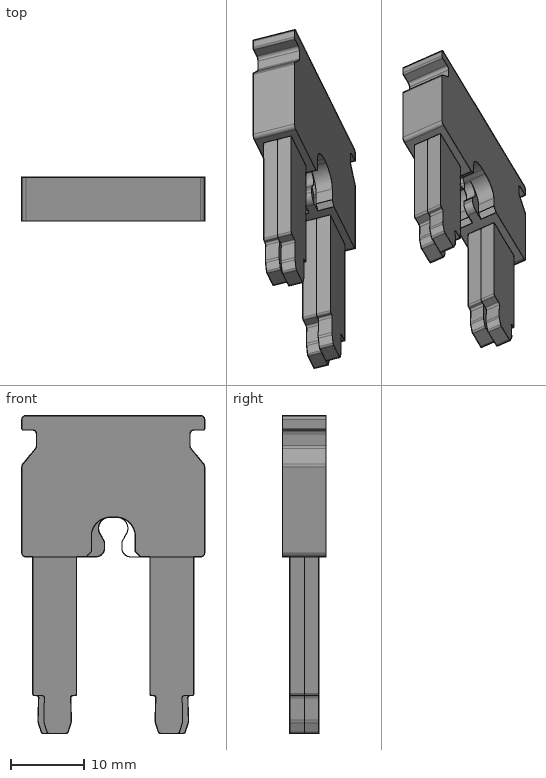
import cadquery as cq
import math


HOUSING_WIDTH = 25.0
HOUSING_DEPTH = 6.0
TOTAL_HEIGHT = 43.44
HOUSING_HEIGHT = 19.3
CORNER_RADIUS = 0.55

LIP_HEIGHT = 2.0
GROOVE_DEPTH = 2.0
GROOVE_FLAT_END = 4.35
GROOVE_RAMP_END = 6.8
LIP_EDGE_RADIUS = 0.25
GROOVE_ROOT_RADIUS = 0.5
GROOVE_RAMP_RADIUS = 0.65

ARCH_WIDTH = 6.0
ARCH_HEIGHT = 5.4
ARCH_SHOULDER_RADIUS = 2.6
ARCH_MOUTH_CHAMFER = 0.7
CLIP_THICKNESS = 1.3
CLIP_GAP = 2.35
JAW_FOOT_RADIUS = 1.2
JAW_FLAT_END = 1.8
JAW_BROW_RADIUS = 1.0
JAW_SLOPE = math.radians(30)
THROAT_RADIUS = 1.5

LEG_PITCH = 16.0
BLADE_WIDTH = 6.0
BLADE_THICKNESS = 2.0
TIP_OFFSET = 0.4
SHOULDER_HEIGHT = 5.17
SHOULDER_RADIUS = 0.28
TIP_NECK_WIDTH = 3.6
TIP_BULGE_WIDTH = 3.8
TIP_BULGE_HEIGHT = 1.63
TIP_BULGE_RADIUS = 1.2
TIP_END_WIDTH = 2.76
TIP_END_RADIUS = 0.3

housing_bottom = TOTAL_HEIGHT - HOUSING_HEIGHT
half_width = HOUSING_WIDTH / 2
PICK_MARGIN = 0.01


def prism(outline, y_start, y_end):
    """Extrude a closed XZ outline from y_start to y_end."""
    return outline.extrude(y_start - y_end).translate((0, y_start, 0))


def round_edges(body, points, radius):
    """Fillet the Y-parallel edges that pass through the given (x, z) points."""
    for x, z in points:
        body = body.edges(cq.selectors.BoxSelector(
            (x - PICK_MARGIN, -HOUSING_DEPTH, z - PICK_MARGIN),
            (x + PICK_MARGIN, HOUSING_DEPTH, z + PICK_MARGIN),
        )).fillet(radius)
    return body


def mirrored(point):
    """Reflect an (x, z) point across the middle plane."""
    return (-point[0], point[1])


def both_sides(x, z):
    return [(-x, z), (x, z)]


def make_housing_block():
    groove_x = half_width - GROOVE_DEPTH
    lip_z = TOTAL_HEIGHT - LIP_HEIGHT
    flat_end_z = TOTAL_HEIGHT - GROOVE_FLAT_END
    ramp_end_z = TOTAL_HEIGHT - GROOVE_RAMP_END
    right_side = [
        (half_width, housing_bottom),
        (half_width, ramp_end_z),
        (groove_x, flat_end_z),
        (groove_x, lip_z),
        (half_width, lip_z),
        (half_width, TOTAL_HEIGHT),
    ]
    left_side = [mirrored(point) for point in reversed(right_side)]
    outline = cq.Workplane("XZ").polyline(right_side + left_side).close()
    block = prism(outline, -HOUSING_DEPTH / 2, HOUSING_DEPTH / 2)
    block = round_edges(block, both_sides(half_width, TOTAL_HEIGHT), CORNER_RADIUS)
    block = round_edges(block, both_sides(half_width, housing_bottom), CORNER_RADIUS)
    block = round_edges(block, both_sides(half_width, lip_z), LIP_EDGE_RADIUS)
    block = round_edges(block, both_sides(groove_x, lip_z), GROOVE_ROOT_RADIUS)
    block = round_edges(block, both_sides(groove_x, flat_end_z), GROOVE_RAMP_RADIUS)
    return round_edges(block, both_sides(half_width, ramp_end_z), GROOVE_RAMP_RADIUS)


def make_arch(y_start, y_end):
    """Notch with rounded top corners and a chamfered mouth."""
    side_x = ARCH_WIDTH / 2
    mouth_x = side_x + ARCH_MOUTH_CHAMFER
    mouth_z = housing_bottom + ARCH_MOUTH_CHAMFER
    arch_top = housing_bottom + ARCH_HEIGHT
    outline = cq.Workplane("XZ").polyline([
        (-mouth_x, housing_bottom),
        (-side_x, mouth_z),
        (-side_x, arch_top),
        (side_x, arch_top),
        (side_x, mouth_z),
        (mouth_x, housing_bottom),
    ]).close()
    arch = prism(outline, y_start, y_end)
    return round_edges(arch, both_sides(side_x, arch_top), ARCH_SHOULDER_RADIUS)


def make_clip_opening():
    """Keyhole between the clip jaws: rounded jaws, sloped flanks, throat blending into the arch."""
    across = math.cos(JAW_SLOPE)
    along = math.sin(JAW_SLOPE)
    jaw_x = CLIP_GAP / 2
    foot_x = jaw_x + JAW_FOOT_RADIUS
    foot_z = housing_bottom + JAW_FOOT_RADIUS
    brow_x = jaw_x + JAW_BROW_RADIUS
    brow_z = housing_bottom + JAW_FLAT_END
    arch_top = housing_bottom + ARCH_HEIGHT
    shoulder_x = ARCH_WIDTH / 2 - ARCH_SHOULDER_RADIUS
    shoulder_z = arch_top - ARCH_SHOULDER_RADIUS

    reach = JAW_BROW_RADIUS + THROAT_RADIUS
    start_x = brow_x - reach * across - shoulder_x
    start_z = brow_z + reach * along - shoulder_z
    centre_distance = ARCH_SHOULDER_RADIUS - THROAT_RADIUS
    half_slope = start_x * along + start_z * across
    offset = start_x ** 2 + start_z ** 2 - centre_distance ** 2
    flank_length = -half_slope + math.sqrt(half_slope ** 2 - offset)
    throat_dx = start_x + flank_length * along
    throat_dz = start_z + flank_length * across
    throat_x = shoulder_x + throat_dx
    throat_z = shoulder_z + throat_dz

    foot_middle = (
        foot_x - JAW_FOOT_RADIUS * math.sqrt(0.5),
        foot_z - JAW_FOOT_RADIUS * math.sqrt(0.5),
    )
    brow_middle = (
        brow_x - JAW_BROW_RADIUS * math.cos(JAW_SLOPE / 2),
        brow_z + JAW_BROW_RADIUS * math.sin(JAW_SLOPE / 2),
    )
    flank_start = (brow_x - JAW_BROW_RADIUS * across, brow_z + JAW_BROW_RADIUS * along)
    flank_end = (throat_x + THROAT_RADIUS * across, throat_z - THROAT_RADIUS * along)
    throat_side = (throat_x + THROAT_RADIUS, throat_z)
    stretch = ARCH_SHOULDER_RADIUS / centre_distance
    shoulder_touch = (shoulder_x + throat_dx * stretch, shoulder_z + throat_dz * stretch)
    touch_angle = math.atan2(throat_dz, throat_dx)
    middle_angle = (touch_angle + math.pi / 2) / 2
    shoulder_middle = (
        shoulder_x + ARCH_SHOULDER_RADIUS * math.cos(middle_angle),
        shoulder_z + ARCH_SHOULDER_RADIUS * math.sin(middle_angle),
    )
    shoulder_top = (shoulder_x, arch_top)

    outline = (
        cq.Workplane("XZ")
        .moveTo(foot_x, housing_bottom)
        .threePointArc(foot_middle, (jaw_x, foot_z))
        .lineTo(jaw_x, brow_z)
        .threePointArc(brow_middle, flank_start)
        .lineTo(*flank_end)
        .threePointArc(throat_side, shoulder_touch)
        .threePointArc(shoulder_middle, shoulder_top)
        .lineTo(*mirrored(shoulder_top))
        .threePointArc(mirrored(shoulder_middle), mirrored(shoulder_touch))
        .threePointArc(mirrored(throat_side), mirrored(flank_end))
        .lineTo(*mirrored(flank_start))
        .threePointArc(mirrored(brow_middle), (-jaw_x, brow_z))
        .lineTo(-jaw_x, foot_z)
        .threePointArc(mirrored(foot_middle), (-foot_x, housing_bottom))
        .close()
    )
    return prism(outline, -CLIP_THICKNESS / 2, CLIP_THICKNESS / 2)


def make_housing():
    front_arch = make_arch(-HOUSING_DEPTH / 2, -CLIP_THICKNESS / 2)
    back_arch = make_arch(CLIP_THICKNESS / 2, HOUSING_DEPTH / 2)
    return make_housing_block().cut(front_arch).cut(back_arch).cut(make_clip_opening())


def make_blade(leg_x, tip_x, y_start):
    """One blade on the leg axis leg_x, its stepped tip on the axis tip_x."""
    half_blade = BLADE_WIDTH / 2
    half_neck = TIP_NECK_WIDTH / 2
    half_bulge = TIP_BULGE_WIDTH / 2
    half_end = TIP_END_WIDTH / 2
    outline = cq.Workplane("XZ").polyline([
        (leg_x - half_blade, housing_bottom),
        (leg_x - half_blade, SHOULDER_HEIGHT),
        (tip_x - half_neck, SHOULDER_HEIGHT),
        (tip_x - half_bulge, TIP_BULGE_HEIGHT),
        (tip_x - half_end, 0),
        (tip_x + half_end, 0),
        (tip_x + half_bulge, TIP_BULGE_HEIGHT),
        (tip_x + half_neck, SHOULDER_HEIGHT),
        (leg_x + half_blade, SHOULDER_HEIGHT),
        (leg_x + half_blade, housing_bottom),
    ]).close()
    blade = prism(outline, y_start, y_start + BLADE_THICKNESS)
    for side in (-1, 1):
        shoulder = [
            (leg_x + side * half_blade, SHOULDER_HEIGHT),
            (tip_x + side * half_neck, SHOULDER_HEIGHT),
        ]
        blade = round_edges(blade, shoulder, SHOULDER_RADIUS)
        bulge = [(tip_x + side * half_bulge, TIP_BULGE_HEIGHT)]
        blade = round_edges(blade, bulge, TIP_BULGE_RADIUS)
        blade = round_edges(blade, [(tip_x + side * half_end, 0)], TIP_END_RADIUS)
    return blade


housing = make_housing()

blades = []
for leg_side in (-1, 1):
    leg_x = leg_side * LEG_PITCH / 2
    blades.append(make_blade(leg_x, leg_x - leg_side * TIP_OFFSET, -BLADE_THICKNESS))
    blades.append(make_blade(leg_x, leg_x + leg_side * TIP_OFFSET, 0))

result = cq.Compound.makeCompound([housing.val(), *[blade.val() for blade in blades]])